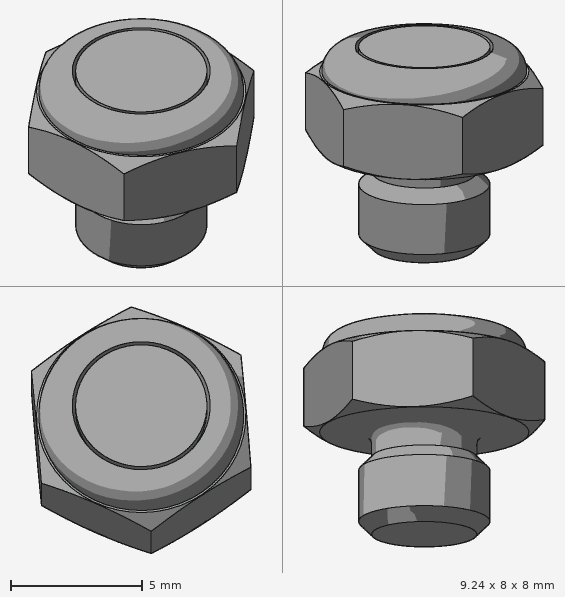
import cadquery as cq
import math

across_corners = 9.24
across_flats = across_corners * math.cos(math.radians(30))
stem_radius = 5.0 / 2
neck_radius = 4.0 / 2
stem_chamfer = stem_radius - neck_radius
stem_shoulder_z = 2.5
neck_bottom_z = stem_shoulder_z + stem_chamfer
hex_bottom_z = 4.0
hex_height = 3.0
hex_top_z = hex_bottom_z + hex_height
neck_fillet = 0.5
hex_face_radius = 3.98
hex_chamfer_angle = 30.0

total_height = across_flats
cap_radius = 7.8 / 2
cap_round = 0.8
cap_slope_angle = 15.0
cap_mouth_radius = 2.62

disc_radius = stem_radius
mouth_taper_depth = 0.5


def revolve(profile):
    """Turn a closed half-profile, drawn as (radius, height), about the Z axis."""
    return profile.close().revolve(360, (0, 0, 0), (0, 1, 0))


def make_hexagon():
    """Hexagonal prism whose corners are cut by a cone at both ends."""
    prism = (
        cq.Workplane("XY", origin=(0, 0, hex_bottom_z))
        .polygon(6, across_corners)
        .extrude(hex_height)
    )
    corner_radius = across_corners / 2
    corner_drop = (corner_radius - hex_face_radius) * math.tan(math.radians(hex_chamfer_angle))
    envelope = revolve(
        cq.Workplane("XZ")
        .moveTo(0, hex_bottom_z)
        .lineTo(hex_face_radius, hex_bottom_z)
        .lineTo(corner_radius, hex_bottom_z + corner_drop)
        .lineTo(corner_radius, hex_top_z - corner_drop)
        .lineTo(hex_face_radius, hex_top_z)
        .lineTo(0, hex_top_z)
    )
    return prism.intersect(envelope)


def make_stem():
    """Stem with chamfered ends and a narrower neck that flares into the hexagon."""
    return revolve(
        cq.Workplane("XZ")
        .lineTo(stem_radius - stem_chamfer, 0)
        .lineTo(stem_radius, stem_chamfer)
        .lineTo(stem_radius, stem_shoulder_z)
        .lineTo(neck_radius, neck_bottom_z)
        .lineTo(neck_radius, hex_bottom_z - neck_fillet)
        .radiusArc((neck_radius + neck_fillet, hex_bottom_z), neck_fillet)
        .lineTo(0, hex_bottom_z)
    )


def make_body():
    return make_hexagon().union(make_stem())


def make_cap():
    """Ring with a rounded rim, a shallow conical top and a tapered mouth."""
    slope = math.radians(cap_slope_angle)
    round_center_radius = cap_radius - cap_round
    slope_foot_radius = round_center_radius + cap_round * math.sin(slope)
    slope_foot_z = total_height - (slope_foot_radius - cap_mouth_radius) * math.tan(slope)
    round_center_z = slope_foot_z - cap_round * math.cos(slope)
    middle_angle = (math.pi / 2 - slope) / 2
    round_middle = (
        round_center_radius + cap_round * math.cos(middle_angle),
        round_center_z + cap_round * math.sin(middle_angle),
    )
    return revolve(
        cq.Workplane("XZ")
        .moveTo(disc_radius, hex_top_z)
        .lineTo(cap_radius, hex_top_z)
        .lineTo(cap_radius, round_center_z)
        .threePointArc(round_middle, (slope_foot_radius, slope_foot_z))
        .lineTo(cap_mouth_radius, total_height)
        .lineTo(disc_radius, total_height - mouth_taper_depth)
    )


def make_disc():
    return (
        cq.Workplane("XY", origin=(0, 0, hex_top_z))
        .circle(disc_radius)
        .extrude(total_height - hex_top_z)
    )


body = make_body()
cap = make_cap()
disc = make_disc()

result = cq.Compound.makeCompound([body.val(), cap.val(), disc.val()])